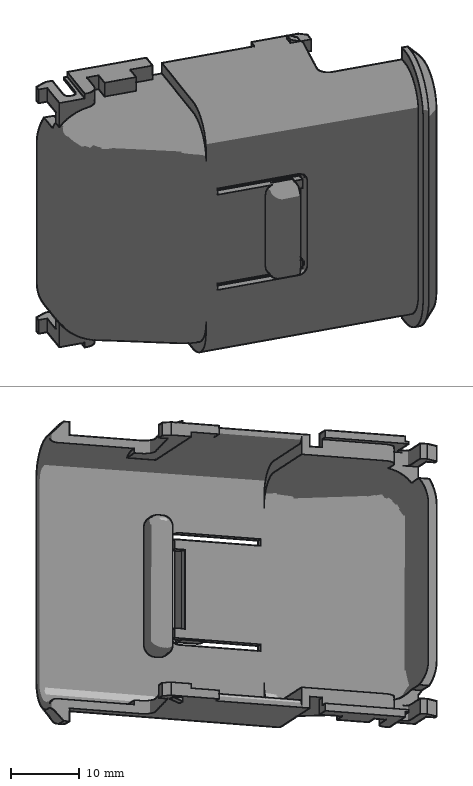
import cadquery as cq
import math

LENGTH = 56.3
WALL = 1.3
FLOOR_X = 19.65
SIDE_EDGE_X = 1.35
CORNER_R = 5.4
CAVITY_CORNER_R = 4.35

CLEAR = 0.55
MARGIN = 0.05

REAR_HALF = 20.6
REAR_START = 20.05
RIM_X = 12.9
RIM_ROUND = 0.8
EDGE_ROUND = 0.9

FRONT_HALF = 18.85
SLANT_ANGLE = math.radians(25.5)
SLANT_TOP_Y = 17.9
BEND_R = 7.3
PLAN_CORNER_R = 7.15
FRONT_EDGE_X = 2.3
OVERLAP = 2.8

FLANGE_WIDTH = 1.95
FLANGE_START = 53.45

TAB_START = 34.65
TAB_END = 43.2
TAB_TIP_CHAMFER_X = 0.8
TAB_TIP_CHAMFER_Y = 1.1
TAB_HOOK_X = 2.35
TAB_SLOPE_Y = (41.8, 40.55)
TAB_INNER_R = 1.7
RIB_START = 38.9
RIB_END = 43.35
RIB_HEIGHT = 0.7
RIB_REACH_X = 16.35
WEDGE_X = (0.9, 2.35)
WEDGE_Y = (39.9, 41.5)
WEDGE_HEIGHT = 0.55

PAD_START = 5.7
PAD_END = 18.15
PAD_TOP = 21.2
PAD_INNER = 20.05
PAD_NARROW_X = 2.65
PAD_WIDE_X = 5.1
PAD_WIDE_Y = (9.65, 14.6)
PAD_ROOT_Y = 7.75
PAD_ROOT_R = 1.7
LIP_START = 5.1
HOOK_TOP = 20.4
HOOK_BOTTOM = 18.1
BRIDGE_X = (5.75, 7.25)
ARM_Y = (1.7, 3.2)
ARM_TIP_X = 0.4
ARM_TIP_Y = 2.15
HOOK_NOSE_X = (1.35, 2.25)
HOOK_NOSE_Y = 0.35
SLOT_R = 0.85
WALL_END_Y = 6.35
WALL_END_R = 2.1
FRONT_NOTCH_HALF = 15.6

TONGUE_HALF = 7.45
TONGUE_END = 35.25
SLIT_HALF = 8.45
SLIT_Y = (21.85, 36.0)
SLIT_CORNER_R = 1.45
NOTCH_HALF = 5.95
NOTCH_Y = 33.55
CATCH_X = 22.3
CATCH_HALF = 7.5
CATCH_Y = (29.4, 33.9)
CATCH_R = 1.45
BAR_HALF = 10.6
BAR_Y = (SLIT_Y[1], 40.05)
BAR_HEIGHT = 2.85
BAR_R = 1.75


def box(x, y, z):
    """Box between the limits given as (low, high) for each axis."""
    size = (x[1] - x[0], y[1] - y[0], z[1] - z[0])
    return cq.Workplane("XY").box(*size, centered=False).translate((x[0], y[0], z[0]))


def plate(outline, z_low, z_high):
    """Body between z_low and z_high from an XY outline, given as a closed wire or corner points."""
    if isinstance(outline, list):
        outline = cq.Workplane("XY").polyline(outline).close()
    return outline.extrude(z_high - z_low).translate((0, 0, z_low))


def on_both_sides(solid):
    """The solid together with its mirror image about Z = 0."""
    return solid.union(solid.mirror("XY"))


def channel(offset, y_start, y_end, x_edge, corner_r):
    """Straight channel body; offset grows (+) or shrinks (-) the outer faces."""
    half = REAR_HALF + offset
    body = box((x_edge, FLOOR_X + offset), (y_start, y_end), (-half, half))
    return body.edges(">X and |Y").fillet(corner_r)


def front_body(inset, x_edge, corner_r):
    """Closed front body with the slanted floor; inset shrinks the outer faces."""
    floor_x = FLOOR_X - inset
    bend_y = SLANT_TOP_Y + inset * math.tan(SLANT_ANGLE / 2)
    slant_front_x = floor_x - (bend_y - inset) * math.tan(SLANT_ANGLE)
    y_end = REAR_START + WALL + OVERLAP
    half = FRONT_HALF - inset
    body = plate(
        [(x_edge, inset), (slant_front_x, inset), (floor_x, bend_y), (floor_x, y_end), (x_edge, y_end)],
        -half,
        half,
    )
    body = body.edges("|X and <Y").fillet(PLAN_CORNER_R - inset)
    bend = cq.selectors.NearestToPointSelector((floor_x, bend_y, 0))
    body = body.edges("|Z").edges(bend).fillet(BEND_R - inset)
    front_edge = cq.selectors.NearestToPointSelector((slant_front_x, inset, 0))
    return body.edges("|Z").edges(front_edge).fillet(corner_r)


def flange():
    """Outward flange at the rear end, chamfered down to the wall."""
    reach = REAR_HALF + FLANGE_WIDTH
    body = channel(FLANGE_WIDTH, FLANGE_START, LENGTH, 0, CORNER_R + FLANGE_WIDTH)
    body = body.faces(">Y").chamfer(FLANGE_WIDTH)
    return body.intersect(box((RIM_X, CATCH_X), (0, LENGTH), (-reach, reach)))


def side_tab_cutout():
    """Region removed behind the chamfered tab tips, rounded at the rear rim."""
    outline = (
        cq.Workplane("XY")
        .moveTo(-CLEAR, TAB_END - TAB_TIP_CHAMFER_Y)
        .lineTo(0, TAB_END - TAB_TIP_CHAMFER_Y)
        .lineTo(TAB_TIP_CHAMFER_X, TAB_END)
        .lineTo(TAB_HOOK_X, TAB_END)
        .lineTo(TAB_HOOK_X, TAB_SLOPE_Y[0])
        .lineTo(RIM_X, TAB_SLOPE_Y[1])
        .lineTo(RIM_X, LENGTH - RIM_ROUND)
        .radiusArc((RIM_X + RIM_ROUND, LENGTH), RIM_ROUND)
        .lineTo(RIM_X + RIM_ROUND, LENGTH + CLEAR)
        .lineTo(-CLEAR, LENGTH + CLEAR)
        .close()
    )
    reach = REAR_HALF + FLANGE_WIDTH + CLEAR
    cutout = plate(outline, -reach, reach)
    root = cq.selectors.NearestToPointSelector((RIM_X, TAB_SLOPE_Y[1], 0))
    return cutout.edges("|Z").edges(root).fillet(TAB_INNER_R)


def cavity():
    """Hollow of the shell, open toward -X and at the rear end."""
    rear = channel(-WALL, REAR_START + WALL, LENGTH + CLEAR, -CLEAR, CAVITY_CORNER_R)
    return rear.union(front_body(WALL, -CLEAR, CAVITY_CORNER_R))


def rear_tab():
    """Side tab that reaches past the wall edge, thickened by a rib on its inner face."""
    inner = REAR_HALF - WALL
    tab = box((0, RIM_X), (TAB_START, TAB_END), (inner, REAR_HALF))
    rib = box((0, RIB_REACH_X), (RIB_START, RIB_END), (inner - RIB_HEIGHT, inner + RIB_HEIGHT / 2))
    return tab.union(rib)


def wedge():
    """Small snap ramp on the outer face of the tab, steep toward the front."""
    ramp = (
        cq.Workplane("YZ")
        .polyline([
            (WEDGE_Y[0], REAR_HALF - WALL / 2),
            (WEDGE_Y[0], REAR_HALF + WEDGE_HEIGHT),
            (WEDGE_Y[1], REAR_HALF),
            (WEDGE_Y[1], REAR_HALF - WALL / 2),
        ])
        .close()
        .extrude(WEDGE_X[1] - WEDGE_X[0])
    )
    return ramp.translate((WEDGE_X[0], 0, 0))


def front_pad():
    """Stepped pad on the outside of the front side wall."""
    root_x = BRIDGE_X[1]
    outline = (
        cq.Workplane("XY")
        .moveTo(0, PAD_START)
        .lineTo(root_x, PAD_START)
        .lineTo(root_x, PAD_ROOT_Y - PAD_ROOT_R)
        .radiusArc((root_x - PAD_ROOT_R, PAD_ROOT_Y), -PAD_ROOT_R)
        .lineTo(PAD_NARROW_X, PAD_ROOT_Y)
        .lineTo(PAD_NARROW_X, PAD_WIDE_Y[0])
        .lineTo(PAD_WIDE_X, PAD_WIDE_Y[0])
        .lineTo(PAD_WIDE_X, PAD_WIDE_Y[1])
        .lineTo(PAD_NARROW_X, PAD_WIDE_Y[1])
        .lineTo(PAD_NARROW_X, PAD_END)
        .lineTo(0, PAD_END)
        .close()
    )
    return plate(outline, FRONT_HALF - WALL, PAD_TOP)


def wall_end_cutout():
    """Clears the space under the pad and rounds the front end of the side wall edge."""
    outline = (
        cq.Workplane("XY")
        .moveTo(-CLEAR, -CLEAR)
        .lineTo(BRIDGE_X[0], -CLEAR)
        .lineTo(BRIDGE_X[0], WALL_END_Y)
        .lineTo(SIDE_EDGE_X + WALL_END_R, WALL_END_Y)
        .radiusArc((SIDE_EDGE_X, WALL_END_Y + WALL_END_R), WALL_END_R)
        .lineTo(SIDE_EDGE_X, PAD_END)
        .lineTo(-CLEAR, PAD_END)
        .close()
    )
    return plate(outline, FRONT_NOTCH_HALF, PAD_INNER)


def front_hook():
    """Hook arm on a bridge, separated by a round-ended slot from a lip under the pad."""
    slot_end = BRIDGE_X[0]
    bridge = box(BRIDGE_X, (ARM_Y[0], PAD_START), (FRONT_NOTCH_HALF, HOOK_TOP))
    arm_outline = (
        cq.Workplane("XY")
        .moveTo(BRIDGE_X[1], ARM_Y[0])
        .lineTo(HOOK_NOSE_X[1], ARM_Y[0])
        .lineTo(HOOK_NOSE_X[1], HOOK_NOSE_Y)
        .lineTo(HOOK_NOSE_X[0], HOOK_NOSE_Y)
        .lineTo(ARM_TIP_X, ARM_TIP_Y)
        .lineTo(ARM_TIP_X, ARM_Y[1])
        .lineTo(slot_end - SLOT_R, ARM_Y[1])
        .radiusArc((slot_end, ARM_Y[1] + SLOT_R), -SLOT_R)
        .lineTo(BRIDGE_X[1], ARM_Y[1] + SLOT_R)
        .close()
    )
    lip_outline = (
        cq.Workplane("XY")
        .moveTo(0, PAD_START)
        .lineTo(0, LIP_START)
        .lineTo(slot_end - SLOT_R, LIP_START)
        .radiusArc((slot_end, LIP_START - SLOT_R), SLOT_R)
        .lineTo(BRIDGE_X[1], LIP_START - SLOT_R)
        .lineTo(BRIDGE_X[1], PAD_START)
        .close()
    )
    arm = plate(arm_outline, HOOK_BOTTOM, HOOK_TOP)
    lip = plate(lip_outline, PAD_INNER, HOOK_TOP)
    return bridge.union(arm).union(lip)


def tongue_slits():
    """U-shaped slit that frees the tongue, with a notch in the tongue's free end."""
    through = (FLOOR_X - 2 * WALL, FLOOR_X + CLEAR)
    window = box(through, SLIT_Y, (-SLIT_HALF, SLIT_HALF))
    window = window.edges("|X and >Y").fillet(SLIT_CORNER_R)
    tongue = box(through, (SLIT_Y[0], TONGUE_END), (-TONGUE_HALF, TONGUE_HALF))
    notch = box(through, (NOTCH_Y, SLIT_Y[1]), (-NOTCH_HALF, NOTCH_HALF))
    return window.cut(tongue.cut(notch))


def catch():
    """Catch on the outside of the tongue, flat toward the rear and rounded elsewhere."""
    body = box((FLOOR_X - WALL / 2, CATCH_X), CATCH_Y, (-CATCH_HALF, CATCH_HALF))
    return body.edges("(|X and <Y) or (>X and <Y) or (>X and |Y)").fillet(CATCH_R)


def grip_bar():
    """Rounded bar across the inner face of the floor."""
    inner = FLOOR_X - WALL
    body = box((inner - BAR_HEIGHT, inner + WALL / 2), BAR_Y, (-BAR_HALF, BAR_HALF))
    return body.edges("|X or <X").fillet(BAR_R)


def round_rim(body):
    """Round the inner edges of the rear rim."""
    inner = REAR_HALF - WALL
    inner_edges = cq.selectors.BoxSelector(
        (SIDE_EDGE_X - MARGIN, LENGTH - MARGIN, -inner - MARGIN),
        (FLOOR_X - WALL + MARGIN, LENGTH + MARGIN, inner + MARGIN),
        boundingbox=True,
    )
    return body.edges(inner_edges).fillet(RIM_ROUND)


def round_wall_edge(body):
    """Round the inner side wall edges between the inner step and the tabs."""
    inner = REAR_HALF - WALL
    middle_y = (REAR_START + WALL + TAB_START) / 2
    for side in (-1, 1):
        edge = cq.selectors.NearestToPointSelector((SIDE_EDGE_X, middle_y, side * inner))
        body = body.edges("|Y").edges(edge).fillet(EDGE_ROUND)
    return body


shell = channel(0, REAR_START, LENGTH, SIDE_EDGE_X, CORNER_R)
shell = shell.union(front_body(0, SIDE_EDGE_X, CORNER_R))
shell = shell.union(flange()).union(on_both_sides(front_pad()))
shell = shell.cut(on_both_sides(wall_end_cutout()))
shell = shell.cut(box((-CLEAR, FRONT_EDGE_X), (-CLEAR, WALL_END_Y), (-FRONT_NOTCH_HALF, FRONT_NOTCH_HALF)))
shell = shell.union(on_both_sides(front_hook()))
shell = round_rim(shell.cut(cavity()))

shell = shell.union(on_both_sides(rear_tab())).cut(side_tab_cutout())
shell = round_wall_edge(shell)
shell = shell.union(on_both_sides(wedge()))

result = shell.cut(tongue_slits()).union(catch()).union(grip_bar())